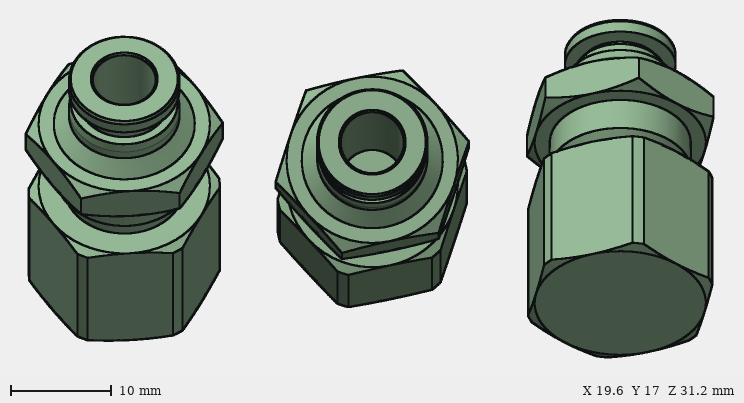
import cadquery as cq
import math

total_height = 31.25
hex_sides = 6
across_flats = 17.0
flat_radius = across_flats / 2
corner_radius = flat_radius / math.cos(math.pi / hex_sides)

body_top = 14.0
body_corner_radius = 9.5
body_chamfer_angle = 20

nut_bottom = 20.0
nut_top = 24.0
nut_chamfer_angle = 30

neck_radius = 6.0
neck_top = 15.5
thread_radius = 7.0
thread_bottom = 16.5
collar_radius = 5.5
collar_bottom = 25.5
collar_taper_start = 26.5
collar_top = 27.5
collar_top_radius = 5.3

sleeve_radius = 4.4
sleeve_top = 28.95
sleeve_neck_radius = 3.85
cap_radius = collar_radius
cap_bottom = 29.65
cap_chamfer_width = 0.2
cap_chamfer_height = 0.3

socket_radius = 3.12
socket_floor = neck_top
socket_chamfer = 0.2


def turned(profile):
    """Revolve a closed (radius, height) outline fully around the Z axis."""
    return cq.Workplane("XZ").polyline(profile).close().revolve(360, (0, 0), (0, 1))


def hex_with_turned_ends(bottom, top, outer_radius, chamfer_angle):
    """Hexagon with corners on X, trimmed to a radius and coned at both ends."""
    prism = (
        cq.Workplane("XY")
        .workplane(offset=bottom)
        .polygon(hex_sides, 2 * corner_radius)
        .extrude(top - bottom)
    )
    chamfer_height = (outer_radius - flat_radius) * math.tan(math.radians(chamfer_angle))
    envelope = turned([
        (0, bottom),
        (flat_radius, bottom),
        (outer_radius, bottom + chamfer_height),
        (outer_radius, top - chamfer_height),
        (flat_radius, top),
        (0, top),
    ])
    return prism.intersect(envelope)


def turned_stem():
    """Neck, thread, collar, sleeve and cap, from the hex body up."""
    return turned([
        (0, body_top),
        (neck_radius, body_top),
        (neck_radius, neck_top),
        (thread_radius, thread_bottom),
        (thread_radius, nut_top),
        (collar_radius, collar_bottom),
        (collar_radius, collar_taper_start),
        (collar_top_radius, collar_top),
        (sleeve_radius, collar_top),
        (sleeve_radius, sleeve_top),
        (sleeve_neck_radius, sleeve_top),
        (sleeve_neck_radius, cap_bottom),
        (cap_radius, cap_bottom),
        (cap_radius, total_height - cap_chamfer_height),
        (cap_radius - cap_chamfer_width, total_height),
        (0, total_height),
    ])


def tube_socket():
    """Blind bore from the top, with a chamfered mouth."""
    return turned([
        (0, socket_floor),
        (socket_radius, socket_floor),
        (socket_radius, total_height - socket_chamfer),
        (socket_radius + socket_chamfer, total_height),
        (0, total_height),
    ])


body = hex_with_turned_ends(0, body_top, body_corner_radius, body_chamfer_angle)
nut = hex_with_turned_ends(nut_bottom, nut_top, corner_radius, nut_chamfer_angle)
result = body.union(turned_stem()).union(nut).cut(tube_socket())